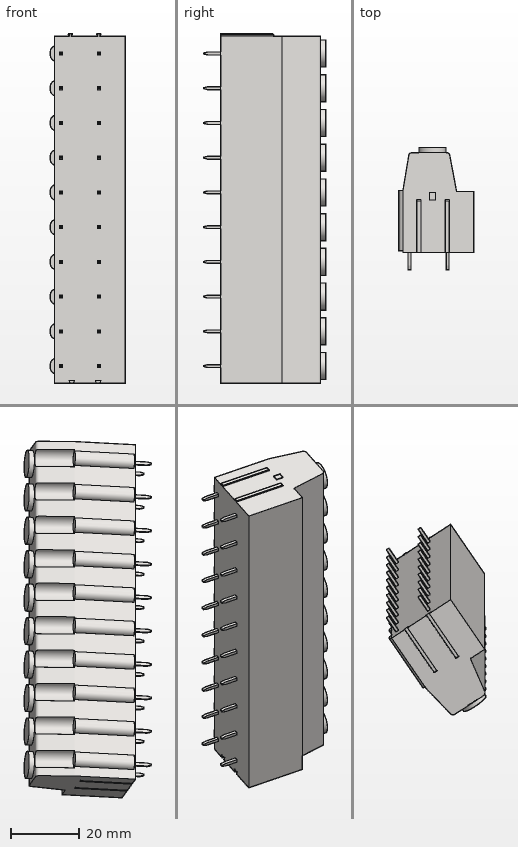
import cadquery as cq
import math

pole_count = 10
body_length = 101.6
pole_pitch = body_length / pole_count
pole_centers = [(index + 0.5) * pole_pitch for index in range(pole_count)]

body_width = 20.8
body_height = 29.3
shoulder_height = 18.2
ledge_height = 17.9
head_base_right = 15.8
head_top_left = 1.8
head_top_right = 13.6
head_corner_radius = 1.0

screw_diameter = 8.0
screw_height = 1.5
screw_x = 8.7

rib_width = 4.4
rib_flat = 0.8
rib_depth = 1.2
rib_start = 0.5
channel_radius = 2.7
channel_axis_offset = 0.5

pin_thickness = 0.9
pin_length = 5.0
pin_positions = (1.9, 13.1)
pin_tip_length = 1.2
pin_tip_thickness = 0.3

rail_positions = (4.7, 13.0)
rail_height = 0.7
rail_width = 1.3
rail_top_width = 1.1
rail_root_width = 0.5
rail_bevel_height = 0.2
rail_end_bevel = 0.4
rail_end = 15.6
groove_positions = (5.1, 12.8)
groove_depth = 0.9
groove_inner_width = 1.6
groove_mouth_width = 0.9

recess_width = 1.8
recess_height = 2.1
recess_base = 15.5
recess_depth = 0.2


def make_body():
    outline = [
        (0, 0),
        (body_width, 0),
        (body_width, ledge_height),
        (head_base_right, ledge_height),
        (head_top_right, body_height),
        (head_top_left, body_height),
        (0, shoulder_height),
    ]
    body = cq.Workplane("XY").polyline(outline).close().extrude(body_length)
    return body.faces(">Y").edges("|Z").fillet(head_corner_radius)


def make_channel(center_z):
    """Round cutter that follows the sloped face and stops at the shoulder."""
    rise = body_height - shoulder_height
    slope_length = math.hypot(head_top_left, rise)
    axis = cq.Vector(head_top_left, rise, 0).normalized()
    outward = cq.Vector(-axis.y, axis.x, 0)
    shoulder_point = cq.Vector(0, shoulder_height, center_z) + outward * channel_axis_offset
    start = shoulder_point - axis * channel_radius
    cutter = cq.Solid.makeCylinder(channel_radius, slope_length + 2 * channel_radius, start, axis)
    limit = cq.Workplane("XY").box(body_width, body_height, body_length, centered=(True, False, True))
    limit = limit.translate((0, shoulder_height, center_z))
    return limit.intersect(cq.Workplane(cutter))


def make_rib(center_z):
    """Rib with a narrow flat crest and a tangent arc down each side."""
    half_flat = rib_flat / 2
    half_width = rib_width / 2
    run = half_width - half_flat
    radius = (run**2 + rib_depth**2) / (2 * rib_depth)
    half_angle = math.asin(run / radius) / 2
    mid_offset = half_flat + radius * math.sin(half_angle)
    mid_x = -rib_depth + radius * (1 - math.cos(half_angle))
    return (
        cq.Workplane("XZ", origin=(0, rib_start, center_z))
        .moveTo(0, -half_width)
        .threePointArc((mid_x, -mid_offset), (-rib_depth, -half_flat))
        .lineTo(-rib_depth, half_flat)
        .threePointArc((mid_x, mid_offset), (0, half_width))
        .close()
        .extrude(-(shoulder_height - rib_start))
    )


def make_screw(center_z):
    plane = cq.Workplane("XZ", origin=(screw_x, body_height, center_z))
    return plane.circle(screw_diameter / 2).extrude(-screw_height)


def make_pin(center_x, center_z):
    """Square pin whose tip narrows along Z only."""
    half_root = pin_thickness / 2
    half_tip = pin_tip_thickness / 2
    tip_start = pin_tip_length - pin_length
    outline = [
        (0, -half_root),
        (tip_start, -half_root),
        (-pin_length, -half_tip),
        (-pin_length, half_tip),
        (tip_start, half_root),
        (0, half_root),
    ]
    plane = cq.Workplane("YZ", origin=(center_x - half_root, 0, center_z))
    return plane.polyline(outline).close().extrude(pin_thickness)


def make_rail(center_x):
    """Rail undercut at its root, with its crest bevelled on the sides and the upper end."""
    widest_z = body_length + rail_height - rail_bevel_height
    half_section = [
        (rail_root_width / 2, body_length),
        (rail_width / 2, widest_z),
        (rail_top_width / 2, body_length + rail_height),
    ]
    right_side = [(center_x + offset, z) for offset, z in half_section]
    left_side = [(center_x - offset, z) for offset, z in reversed(half_section)]
    rail = cq.Workplane("XZ").polyline(right_side + left_side).close().extrude(-rail_end)
    return rail.faces(">Z").edges(">Y").chamfer(rail_end_bevel)


def make_groove(center_x):
    """Dovetail groove, narrowest at its mouth."""
    outline = [
        (center_x - groove_mouth_width / 2, 0),
        (center_x + groove_mouth_width / 2, 0),
        (center_x + groove_inner_width / 2, groove_depth),
        (center_x - groove_inner_width / 2, groove_depth),
    ]
    return cq.Workplane("XZ").polyline(outline).close().extrude(-rail_end)


def make_recess():
    recess = cq.Workplane("XY").box(recess_width, recess_height, recess_depth, centered=(True, False, False))
    return recess.translate((screw_x, recess_base, body_length - recess_depth))


result = make_body().cut(make_recess())
for z in pole_centers:
    result = result.cut(make_channel(z))
    result = result.union(make_rib(z)).union(make_screw(z))
    for x in pin_positions:
        result = result.union(make_pin(x, z))
for x in groove_positions:
    result = result.cut(make_groove(x))
for x in rail_positions:
    result = result.union(make_rail(x))